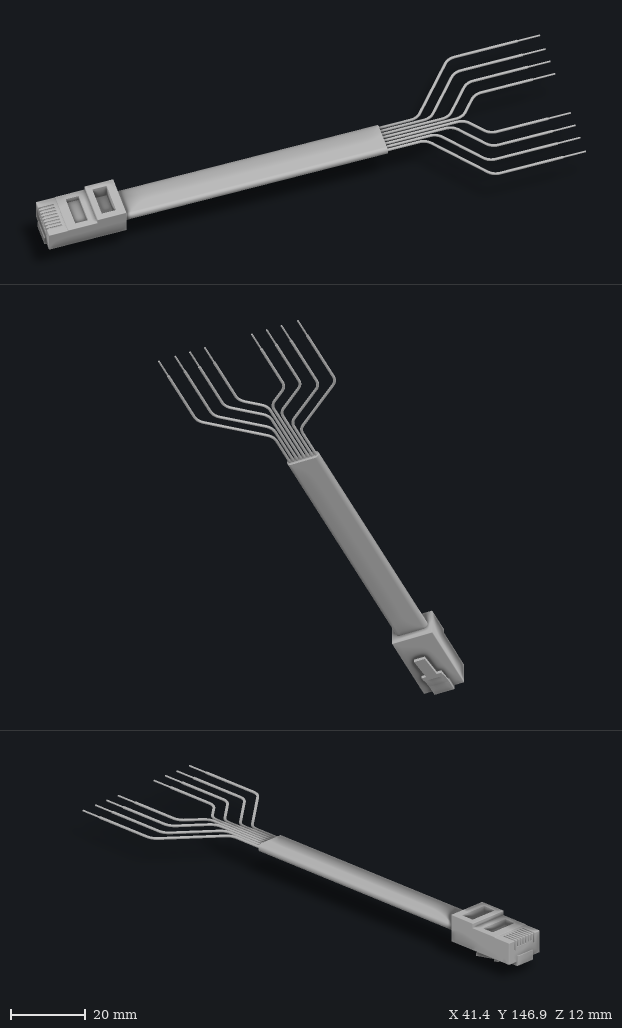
import cadquery as cq
import math

overall_width = 41.4
overall_length = 146.89
overall_height = 11.96

plug_width = 11.8
plug_bottom = -3.32
body_height = 6.64
rear_height = 7.97
nose_lip = 0.4
plug_back = 22.2
rear_block_front = 14.05
edge_round = 0.19
nose_length = 5.7
nose_drop = 0.15
plug_top = plug_bottom + body_height
nose_top = plug_top - nose_drop
rear_top = plug_bottom + rear_height

window_width = 8.4
rear_window_length = 4.0
rear_window_center = 17.8
rear_window_floor = 0.5
front_window_length = 3.6
front_window_center = 10.1
front_window_floor = 1.6

way_count = 8
way_pitch = 1.02
slot_width = 0.5
slot_back = 4.8
slot_bottom = 1.1
outer_slot_bottom = 0.2
blade_recess = 0.3
blade_top = nose_top - blade_recess
blade_setback = 0.5
blade_front = nose_lip + blade_setback
blade_round = 0.5

latch_width = 5.75
latch_tab_width = 3.1
latch_root_length = 3.8
latch_root_rise = 1.8
latch_root_drop = 1.2
latch_root_top = plug_bottom + latch_root_rise
latch_root_bottom = plug_bottom - latch_root_drop
latch_root_round = 0.4
hinge_gap = 0.75
hinge_end = 7.4
hinge_thickness = 0.5
shoulder_length = 1.6
tab_thickness = 0.9
latch_end = 17.2
latch_bottom = rear_top - overall_height

cable_width = 9.3
cable_thickness = 2.4
cable_round = 1.15
cable_end = 96.2
wire_diameter = 0.77
core_diameter = 0.5
wire_pitch = 1.09
wire_end = overall_length
strip_length = 6.4
bend_radius = 4.0
fan_angle = math.radians(50)
fan_starts = [117.0, 113.4, 108.6, 105.2]
fan_offsets = [6.85, 11.2, 15.5, (overall_width - wire_diameter) / 2]


def block(width, y_range, z_range):
    """Box centred on X = 0 between the given Y and Z limits."""
    length = y_range[1] - y_range[0]
    height = z_range[1] - z_range[0]
    box = cq.Workplane("XY").box(width, length, height, centered=(True, False, False))
    return box.translate((0, y_range[0], z_range[0]))


def extrude_profile(points, width):
    """Extrude a closed (Y, Z) outline symmetrically about X = 0."""
    return cq.Workplane("YZ").polyline(points).close().extrude(width / 2, both=True)


def cable_jacket():
    """Flat cable jacket with well rounded sides, starting at the plug back."""
    half_thickness = cable_thickness / 2
    jacket = block(cable_width, (plug_back, cable_end), (-half_thickness, half_thickness))
    return jacket.edges("|Y").fillet(cable_round)


def wire(side, index):
    """One wire: straight in the ribbon, an S-bend outward, straight again, then the bare core."""
    x_start = (index + 0.5) * wire_pitch
    x_end = fan_offsets[index]
    arc_dx = bend_radius * (1 - math.cos(fan_angle))
    arc_dy = bend_radius * math.sin(fan_angle)
    half_dx = bend_radius * (1 - math.cos(fan_angle / 2))
    half_dy = bend_radius * math.sin(fan_angle / 2)
    diagonal_dy = (x_end - x_start - 2 * arc_dx) / math.tan(fan_angle)
    y_start = fan_starts[index]
    y_end = y_start + 2 * arc_dy + diagonal_dy
    strip_y = wire_end - strip_length

    path = (
        cq.Workplane("XY")
        .moveTo(side * x_start, cable_end)
        .lineTo(side * x_start, y_start)
        .threePointArc(
            (side * (x_start + half_dx), y_start + half_dy),
            (side * (x_start + arc_dx), y_start + arc_dy),
        )
        .lineTo(side * (x_end - arc_dx), y_end - arc_dy)
        .threePointArc((side * (x_end - half_dx), y_end - half_dy), (side * x_end, y_end))
        .lineTo(side * x_end, strip_y)
    )
    start_plane = cq.Workplane("XZ", origin=(side * x_start, cable_end, 0))
    insulation = start_plane.circle(wire_diameter / 2).sweep(path)
    core_plane = cq.Workplane("XZ", origin=(side * x_end, strip_y, 0))
    core = core_plane.circle(core_diameter / 2).extrude(-strip_length)
    return insulation.union(core)


def make_cable():
    """Jacket with its wires, mirrored in pairs about X = 0."""
    cable = cable_jacket()
    for side in (-1, 1):
        for index in range(way_count // 2):
            cable = cable.union(wire(side, index))
    return cable


def contact_slot(bottom):
    """Slot cutter, open to the top and front, leaving the rounded contact blade standing in it."""
    cutter = block(slot_width, (0, slot_back), (bottom, plug_top))
    blade = block(slot_width, (blade_front, slot_back), (bottom, blade_top))
    blade = blade.edges("|X and <Y and >Z").fillet(blade_round)
    return cutter.cut(blade)


def latch():
    """Root block on the nose, thin hinge, then a thicker tab sloping down and back."""
    root = block(latch_width, (0, latch_root_length), (latch_root_bottom, latch_root_top))
    root = root.edges("|X and <Y and <Z").fillet(latch_root_round)
    tab_end_top = latch_bottom + tab_thickness
    slope = (plug_bottom - hinge_gap - tab_end_top) / (latch_end - latch_root_length)

    def top_at(y):
        return tab_end_top + slope * (latch_end - y)

    def strip(y_front, y_back, thickness, width):
        outline = [
            (y_front, top_at(y_front)),
            (y_back, top_at(y_back)),
            (y_back, top_at(y_back) - thickness),
            (y_front, top_at(y_front) - thickness),
        ]
        return extrude_profile(outline, width)

    shoulder_end = hinge_end + shoulder_length
    hinge = strip(latch_root_length, hinge_end, hinge_thickness, latch_width)
    shoulder = strip(hinge_end, shoulder_end, tab_thickness, latch_width)
    tab = strip(shoulder_end, latch_end, tab_thickness, latch_tab_width)
    return root.union(hinge).union(shoulder).union(tab)


def rounded_block(front, top):
    """Full-width block with rounded edges, from the given front face to the plug back."""
    return block(plug_width, (front, plug_back), (plug_bottom, top)).edges().fillet(edge_round)


def make_plug():
    """Stepped housing with its latch, two top recesses and a row of contact slots."""
    plug = rounded_block(nose_lip, nose_top)
    plug = plug.union(rounded_block(nose_length, plug_top))
    plug = plug.union(rounded_block(rear_block_front, rear_top))
    plug = plug.union(latch())
    for center, length, floor in (
        (rear_window_center, rear_window_length, rear_window_floor),
        (front_window_center, front_window_length, front_window_floor),
    ):
        y_range = (center - length / 2, center + length / 2)
        plug = plug.cut(block(window_width, y_range, (floor, rear_top)))
    for index in range(way_count):
        outermost = index in (0, way_count - 1)
        slot_x = (index - (way_count - 1) / 2) * way_pitch
        slot = contact_slot(outer_slot_bottom if outermost else slot_bottom)
        plug = plug.cut(slot.translate((slot_x, 0, 0)))
    return plug


plug = make_plug()
cable = make_cable()
result = cq.Compound.makeCompound([plug.solids().val(), cable.solids().val()])